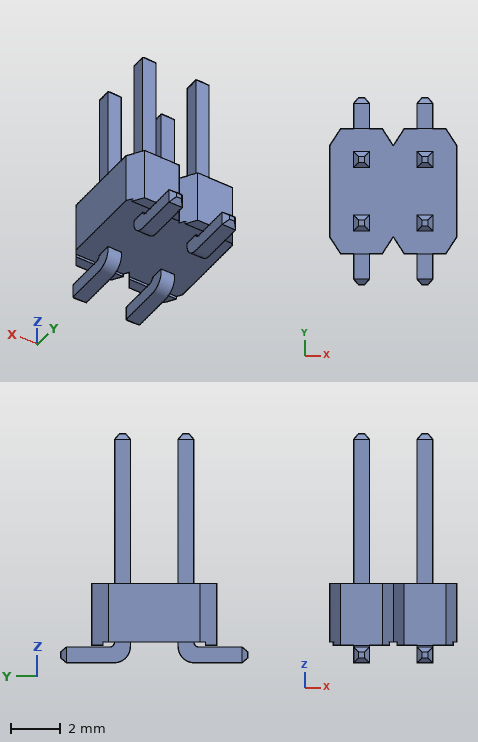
import cadquery as cq

PITCH = 2.54
OVERALL_HEIGHT = 9.18
OVERALL_DEPTH = 7.5

BODY_WIDTH = 5.09
BODY_DEPTH = 5.02
BODY_BOTTOM = 0.70
BODY_TOP = 3.18
CORNER_X = 0.44
CORNER_Y = 0.68
FOOT_HEIGHT = 0.13
FOOT_DEPTH = 0.46

PIN_SIZE = 0.64
TIP_LENGTH = 0.23
TIP_SIZE = 0.23
BEND_INNER_RADIUS = 0.20
BEND_OUTER_RADIUS = 0.66


def make_body():
    """Block with cut corners, a V-notch between the columns and feet at both Y ends."""
    half_width = BODY_WIDTH / 2
    half_depth = BODY_DEPTH / 2
    shoulder = half_depth - CORNER_Y
    half_outline = [
        (-half_width, shoulder),
        (-half_width + CORNER_X, half_depth),
        (-CORNER_X, half_depth),
        (0, shoulder),
        (CORNER_X, half_depth),
        (half_width - CORNER_X, half_depth),
        (half_width, shoulder),
    ]
    mirrored_outline = [(x, -y) for x, y in reversed(half_outline)]
    block = (
        cq.Workplane("XY", origin=(0, 0, BODY_BOTTOM))
        .polyline(half_outline + mirrored_outline)
        .close()
        .extrude(BODY_TOP - BODY_BOTTOM)
    )
    relief = (
        cq.Workplane("XY", origin=(0, 0, BODY_BOTTOM))
        .rect(BODY_WIDTH, BODY_DEPTH - 2 * FOOT_DEPTH)
        .extrude(FOOT_HEIGHT)
    )
    return block.cut(relief)


def make_tip(base_plane):
    """Truncated pyramid rising from a pin end along the plane normal."""
    return (
        cq.Workplane(base_plane)
        .rect(PIN_SIZE, PIN_SIZE)
        .workplane(offset=TIP_LENGTH)
        .rect(TIP_SIZE, TIP_SIZE)
        .loft(ruled=True)
    )


def make_pin(x):
    """L-shaped square pin at the given X, with its tail pointing toward +Y."""
    half_pin = PIN_SIZE / 2
    row_y = PITCH / 2
    back_y = row_y - half_pin
    front_y = row_y + half_pin
    shaft_top = OVERALL_HEIGHT - TIP_LENGTH
    tail_end = OVERALL_DEPTH / 2 - TIP_LENGTH
    shaft = (
        cq.Workplane("YZ", origin=(x - half_pin, 0, 0))
        .moveTo(back_y, shaft_top)
        .lineTo(back_y, BEND_OUTER_RADIUS)
        .radiusArc((back_y + BEND_OUTER_RADIUS, 0), -BEND_OUTER_RADIUS)
        .lineTo(tail_end, 0)
        .lineTo(tail_end, PIN_SIZE)
        .lineTo(front_y + BEND_INNER_RADIUS, PIN_SIZE)
        .radiusArc((front_y, PIN_SIZE + BEND_INNER_RADIUS), BEND_INNER_RADIUS)
        .lineTo(front_y, shaft_top)
        .close()
        .extrude(PIN_SIZE)
    )
    top_plane = cq.Plane(origin=(x, row_y, shaft_top), xDir=(1, 0, 0), normal=(0, 0, 1))
    tail_plane = cq.Plane(origin=(x, tail_end, half_pin), xDir=(1, 0, 0), normal=(0, 1, 0))
    return shaft.union(make_tip(top_plane)).union(make_tip(tail_plane))


result = make_body()
for column_x in (-PITCH / 2, PITCH / 2):
    pin = make_pin(column_x)
    result = result.union(pin).union(pin.mirror("XZ"))